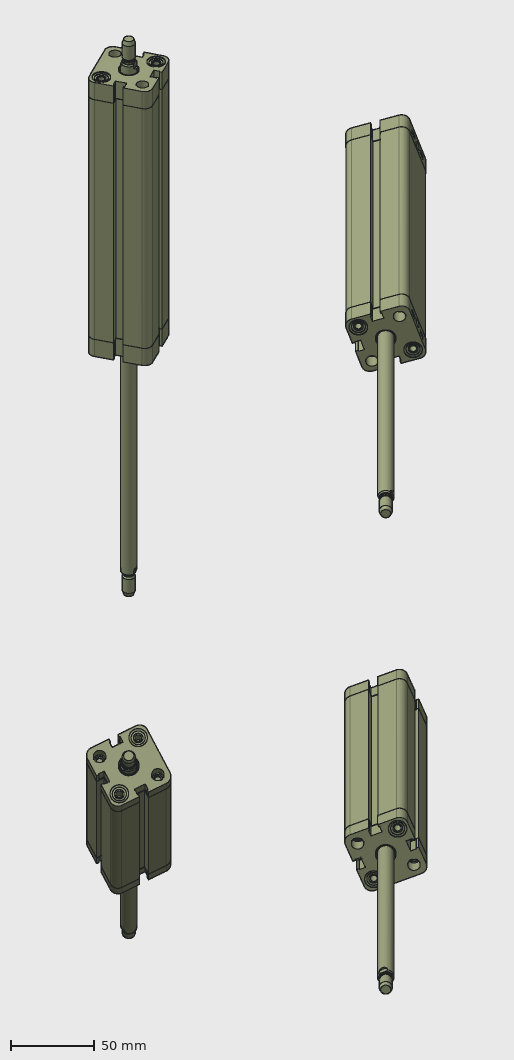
import cadquery as cq


BODY_LENGTH = 199.0
CAP_LENGTH = 12.5
BARREL_LENGTH = BODY_LENGTH - 2 * CAP_LENGTH
STROKE = 160.0
ROD_STICK_OUT = 22.0
ROD_TOP = BODY_LENGTH / 2 + ROD_STICK_OUT
ROD_BOTTOM = -BODY_LENGTH / 2 - ROD_STICK_OUT - STROKE

CAP_WIDTH = 40.3
BARREL_WIDTH = 40.16
CORNER_CENTRE = 15.0
SLOT_WIDTH = 6.0
SLOT_FLOOR = 15.1
CAP_SLOT_INNER_WIDTH = 7.2
CAP_SLOT_FLOOR = 14.7
CAP_SLOT_LIP_BACK = 18.4
SLOT_ANGLES = (-90, 0, 90)

ROD_DIAMETER = 10.0
THREAD_DIAMETER = 8.0
THREAD_LENGTH = 16.0
TIP_DIAMETER = 6.1
TIP_TAPER = 2.9
NECK_DIAMETER = 6.5
NECK_LENGTH = 3.0
NECK_TAPER = 1.3
NECK_ROOT_DIAMETER = 7.2
NECK_ROOT_LENGTH = 0.8
SHOULDER_DIAMETER = 8.6
SHOULDER_TAPER = 1.0
WRENCH_FLATS = 8.0
FLAT_LENGTH = 4.5
FLAT_WIDTH = 5.5

SCREW_OFFSET = 13.0
SCREW_CORE = (4.13, CAP_LENGTH)
DEEP_SCREW_STEPS = (
    (7.5, 10.0),
    (5.8, 11.0),
    SCREW_CORE,
)
SHALLOW_SCREW_STEPS = (
    (11.1, 0.6),
    (8.5, 1.0),
    (5.8, 1.5),
    SCREW_CORE,
)
ROD_SEAT_STEPS = (
    (12.5, 0.5),
    (11.1, 1.5),
)

PORT_FACE = -CAP_WIDTH / 2
PORT_DIAMETER = 4.13
PORT_MOUTH_DIAMETER = 5.8
PORT_MOUTH_DEPTH = (PORT_MOUTH_DIAMETER - PORT_DIAMETER) / 2
PORT_DEPTH = 8.0
PORT_FROM_END = 7.5

RECESS_LENGTH = 5.2
RECESS_HEIGHT = 2.4
RECESS_DEPTH = 1.0
RECESS_OFFSET = 7.9
RECESS_FROM_END = 6.0


def cut_slots(block, length, width, floor, outer):
    """Cut one lengthwise groove per slotted face, reaching from floor to outer."""
    depth = outer - floor
    groove = cq.Workplane("XY").center(floor + depth / 2, 0).rect(depth, width).extrude(length)
    for angle in SLOT_ANGLES:
        block = block.cut(groove.rotate((0, 0, 0), (0, 0, 1), angle))
    return block


def slotted_block(width, length):
    """Square bar standing on Z = 0 with round corners, a rod bore and three slots."""
    block = (
        cq.Workplane("XY")
        .rect(width, width)
        .extrude(length)
        .edges("|Z")
        .fillet(width / 2 - CORNER_CENTRE)
    )
    bore = cq.Workplane("XY").circle(ROD_DIAMETER / 2).extrude(length)
    return cut_slots(block.cut(bore), length, SLOT_WIDTH, SLOT_FLOOR, width / 2)


def cut_stepped_hole(cap, steps, x, y):
    """Cut coaxial round steps downwards from the outer face of a cap."""
    for diameter, depth in steps:
        step = cq.Workplane("XY", origin=(x, y, CAP_LENGTH - depth)).circle(diameter / 2).extrude(depth)
        cap = cap.cut(step)
    return cap


def cut_port(cap):
    """Air port with a countersunk mouth, and the recess on each side of it."""
    port_plane = cq.Workplane("YZ", origin=(PORT_FACE, 0, CAP_LENGTH - PORT_FROM_END))
    hole = port_plane.circle(PORT_DIAMETER / 2).extrude(PORT_DEPTH)
    mouth = (
        port_plane.circle(PORT_MOUTH_DIAMETER / 2)
        .workplane(offset=PORT_MOUTH_DEPTH)
        .circle(PORT_DIAMETER / 2)
        .loft()
    )
    recesses = (
        cq.Workplane("YZ", origin=(PORT_FACE, 0, CAP_LENGTH - RECESS_FROM_END))
        .pushPoints([(-RECESS_OFFSET, 0), (RECESS_OFFSET, 0)])
        .rect(RECESS_LENGTH, RECESS_HEIGHT)
        .extrude(RECESS_DEPTH)
    )
    return cap.cut(hole).cut(mouth).cut(recesses)


def make_cap():
    """End cap with its inner face at Z = 0 and its outer face up."""
    cap = slotted_block(CAP_WIDTH, CAP_LENGTH)
    cap = cut_slots(cap, CAP_LENGTH, CAP_SLOT_INNER_WIDTH, CAP_SLOT_FLOOR, CAP_SLOT_LIP_BACK)
    for offset in (-SCREW_OFFSET, SCREW_OFFSET):
        cap = cut_stepped_hole(cap, DEEP_SCREW_STEPS, offset, -offset)
        cap = cut_stepped_hole(cap, SHALLOW_SCREW_STEPS, offset, offset)
    cap = cut_stepped_hole(cap, ROD_SEAT_STEPS, 0, 0)
    return cut_port(cap)


def make_barrel():
    return slotted_block(BARREL_WIDTH, BARREL_LENGTH).translate((0, 0, -BARREL_LENGTH / 2))


def rod_end_outline(tip, inward):
    """Radius and height points of one rod end, from the tip to the full rod diameter."""
    neck_start = THREAD_LENGTH - NECK_LENGTH
    stations = (
        (TIP_DIAMETER, 0),
        (THREAD_DIAMETER, TIP_TAPER),
        (THREAD_DIAMETER, neck_start),
        (NECK_DIAMETER, neck_start + NECK_TAPER),
        (NECK_DIAMETER, THREAD_LENGTH - NECK_ROOT_LENGTH),
        (NECK_ROOT_DIAMETER, THREAD_LENGTH),
        (SHOULDER_DIAMETER, THREAD_LENGTH),
        (ROD_DIAMETER, THREAD_LENGTH + SHOULDER_TAPER),
    )
    return [(diameter / 2, tip + inward * distance) for diameter, distance in stations]


def cut_wrench_flats(rod, shoulder):
    """Cut two opposite flats that start at a shoulder and run out in a round end."""
    for side in (-1, 1):
        flat = (
            cq.Workplane("YZ", origin=(side * WRENCH_FLATS / 2, 0, shoulder))
            .slot2D(2 * FLAT_LENGTH, FLAT_WIDTH, 90)
            .extrude(side * ROD_DIAMETER)
        )
        rod = rod.cut(flat)
    return rod


def make_rod():
    bottom_end = rod_end_outline(ROD_BOTTOM, 1)
    top_end = rod_end_outline(ROD_TOP, -1)
    outline = [(0, ROD_BOTTOM), *bottom_end, *reversed(top_end), (0, ROD_TOP)]
    rod = cq.Workplane("XZ").polyline(outline).close().revolve(360, (0, 0), (0, 1))
    rod = cut_wrench_flats(rod, ROD_BOTTOM + THREAD_LENGTH)
    return cut_wrench_flats(rod, ROD_TOP - THREAD_LENGTH)


barrel = make_barrel()
rod = make_rod()

top_cap = make_cap().translate((0, 0, BARREL_LENGTH / 2))
bottom_cap = top_cap.mirror("XY")

result = cq.Compound.makeCompound([barrel.val(), top_cap.val(), bottom_cap.val(), rod.val()])